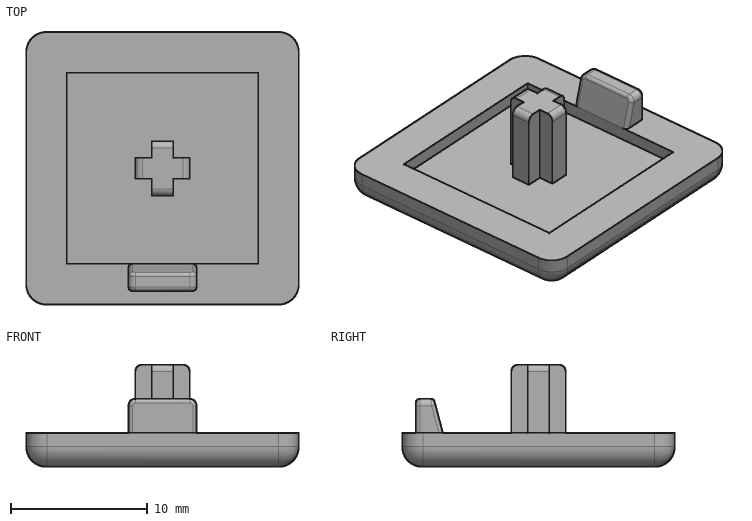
import cadquery as cq
import math

plate_size = 20.0
plate_thickness = 2.5
plate_radius = 1.5

rim_width = 3.0
recess_size = plate_size - 2 * rim_width
recess_depth = 1.0

post_span = 4.0
post_arm_width = 1.55
post_height = 5.0
post_tip_radius = 0.5

tab_length = 5.0
tab_height = 2.5
tab_depth = 2.0
tab_slope = 15.0
tab_inner_y = -recess_size / 2
tab_end_radius = 0.5
tab_edge_radius = 0.3


def make_plate():
    plate = (
        cq.Workplane("XY")
        .rect(plate_size, plate_size)
        .extrude(-plate_thickness)
        .edges("|Z")
        .fillet(plate_radius)
        .faces("<Z")
        .edges()
        .fillet(plate_radius)
    )
    recess = cq.Workplane("XY").rect(recess_size, recess_size).extrude(-recess_depth)
    return plate.cut(recess)


def make_post_bar():
    """One bar of the cross, along X, with its two top ends rounded."""
    return (
        cq.Workplane("XY")
        .workplane(offset=-recess_depth)
        .rect(post_span, post_arm_width)
        .extrude(recess_depth + post_height)
        .faces(">Z")
        .edges("|Y")
        .fillet(post_tip_radius)
    )


def make_post():
    bar = make_post_bar()
    crossing_bar = bar.rotate((0, 0, 0), (0, 0, 1), 90)
    return bar.union(crossing_bar)


def make_tab():
    outer_y = tab_inner_y - tab_depth
    top_inner_y = tab_inner_y - tab_height * math.tan(math.radians(tab_slope))
    profile = [
        (outer_y, 0),
        (tab_inner_y, 0),
        (top_inner_y, tab_height),
        (outer_y, tab_height),
    ]
    tab = cq.Workplane("YZ").polyline(profile).close().extrude(tab_length / 2, both=True)
    tab = tab.faces(">Z").edges("|Y").fillet(tab_end_radius)
    outlines = tab.edges("not |Y").edges("not <Z")
    return outlines.fillet(tab_edge_radius)


result = make_plate().union(make_post()).union(make_tab())